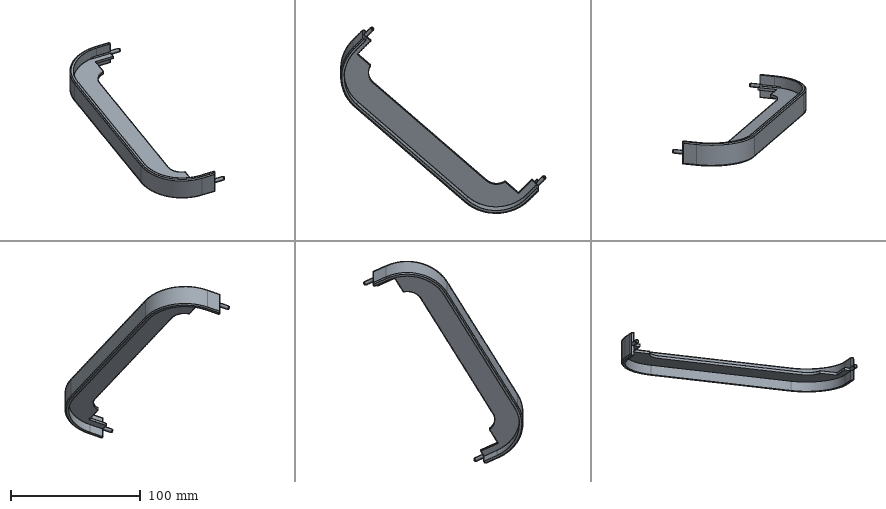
import cadquery as cq
import math

wall_width = 186
wall_depth = 46.7
wall_height = 18.0
wall_thickness = 2.8
corner_radius = 35.0
edge_chamfer = 1.0

plate_thickness = 2.0
plate_bottom = 7.5
arm_width = 8.0
shoulder_depth = 31.5
shoulder_width = 22.1
web_depth = 22.3
cove_radius = 11.5

pin_diameter = 3.0
pin_tip_y = 55.0
pin_length = 25.1
pin_inset = 2.2
pin_chamfer_length = 1.0
pin_chamfer_radial = 0.4

half_width = wall_width / 2
mid_height = wall_height / 2


def u_solid(inset, height):
    """Solid filled U outline, set in from the outer wall face."""
    half = half_width - inset
    return (
        cq.Workplane("XY")
        .moveTo(-half, wall_depth)
        .lineTo(-half, corner_radius)
        .radiusArc((-half_width + corner_radius, inset), -(corner_radius - inset))
        .lineTo(half_width - corner_radius, inset)
        .radiusArc((half, corner_radius), -(corner_radius - inset))
        .lineTo(half, wall_depth)
        .close()
        .extrude(height)
    )


def make_wall():
    outer = u_solid(0, wall_height)
    outer = outer.faces("<Y or <X or >X").edges("|Z and >Y").chamfer(edge_chamfer)
    outer = outer.faces("<Y").edges(">Z or <Z").chamfer(edge_chamfer)
    return outer.cut(u_solid(wall_thickness, wall_height))


def make_plate():
    shoulder_x = half_width - shoulder_width
    rise = shoulder_depth - web_depth
    cove_x = shoulder_x - math.sqrt(cove_radius**2 - (cove_radius - rise) ** 2)
    arm_x = half_width - arm_width
    opening = (
        cq.Workplane("XY")
        .moveTo(-arm_x, wall_depth)
        .lineTo(-arm_x, shoulder_depth)
        .lineTo(-shoulder_x, shoulder_depth)
        .radiusArc((-cove_x, web_depth), -cove_radius)
        .lineTo(cove_x, web_depth)
        .radiusArc((shoulder_x, shoulder_depth), -cove_radius)
        .lineTo(arm_x, shoulder_depth)
        .lineTo(arm_x, wall_depth)
        .close()
        .extrude(plate_thickness)
    )
    plate = u_solid(wall_thickness / 2, plate_thickness).cut(opening)
    return plate.translate((0, 0, plate_bottom))


def make_pin(side):
    pin = (
        cq.Workplane("XZ", origin=(side * (half_width - pin_inset), pin_tip_y, mid_height))
        .circle(pin_diameter / 2)
        .extrude(pin_length)
    )
    return pin.faces(">Y").chamfer(pin_chamfer_length, pin_chamfer_radial)


result = make_wall().union(make_plate())
for side in (-1, 1):
    result = result.union(make_pin(side))